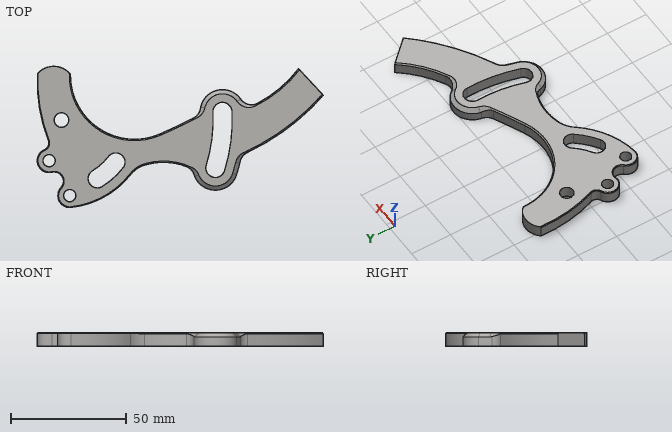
import cadquery as cq
import math

thickness = 6.0

fine_bevel = 0.4
arm_bevel = 0.6
slot_bevel = 1.9

pivot = (10.5, 38.0)
pivot_hole_radius = 3.1

lug_hole_radius = 2.6
lug_radius = 5.2
upper_lug = (5.2, 20.4)
lower_lug = (14.2, 5.2)
notch_radius = 4.0
lug_fillet = 3.1

short_slot_path = 29.8
short_slot_radius = 4.0
short_slot_angles = (-58.5, -37.8)

long_slot_path = 69.9
long_slot_radius = 4.1
long_slot_angles = (-17.3, 2.9)
rim_radius = 9.7

left_edge = (69.5, 54.6)
left_edge_radius = 69.5
tip = (7.2, 52.0)
tip_radius = 9.3
bowl = (42.2, 57.4)
bowl_radius = 27.7
flank_radius = 248.3
flank_angle = -66.5
belly = (54.8, -8.5)
belly_radius = 28.0
tail_fillet = 12.3
arm_bottom = (47.7, 116.0)
arm_bottom_radius = 101.8
arm_top = (71.3, 92.1)
arm_top_radius = 52.8
belly_fillet = 5.6
arm_bottom_fillet = 5.6
arm_top_fillet = 5.6
flank_fillet = 5.6

arm_end = (119.3, 53.9)
arm_end_angle = 43
arm_overrun = 6.2
trim_size = 49.7


def polar(center, radius, degrees):
    angle = math.radians(degrees)
    return (center[0] + radius * math.cos(angle), center[1] + radius * math.sin(angle))


def crossing(a, radius_a, b, radius_b, side):
    """Crossing of two circles; side +1 is left of the line from a to b, -1 is right."""
    dx, dy = b[0] - a[0], b[1] - a[1]
    span = math.hypot(dx, dy)
    along = (span**2 + radius_a**2 - radius_b**2) / (2 * span)
    across = side * math.sqrt(radius_a**2 - along**2)
    return (
        a[0] + (along * dx - across * dy) / span,
        a[1] + (along * dy + across * dx) / span,
    )


def blend(first, second, radius, side):
    """Concave arc of the given radius tangent to two outline arcs."""
    center = crossing(first[0], abs(first[1] + radius), second[0], abs(second[1] + radius), side)
    return (center, -radius)


def tangent_point(first, second):
    """Point where two tangent outline arcs join."""
    (ax, ay), radius_a = first
    (bx, by), radius_b = second
    share = radius_a / (radius_a - radius_b)
    return (ax + (bx - ax) * share, ay + (by - ay) * share)


def arc_middle(arc, start, end):
    """Middle of the short arc from start to end."""
    (cx, cy), radius = arc
    mx = (start[0] + end[0]) / 2 - cx
    my = (start[1] + end[1]) / 2 - cy
    scale = abs(radius) / math.hypot(mx, my)
    return (cx + mx * scale, cy + my * scale)


def outline(fine, arm, rim):
    """Closed plate outline, moved inward by the given amounts along its three regions."""
    edge = (left_edge, left_edge_radius - fine)
    lug_a = (upper_lug, lug_radius - fine)
    lug_b = (lower_lug, lug_radius - fine)
    tail = (pivot, math.dist(pivot, lower_lug) + lug_radius - fine)
    under = (belly, -belly_radius - arm)
    rim_low = (polar(pivot, long_slot_path, long_slot_angles[0]), rim_radius - rim)
    rim_side = (pivot, long_slot_path + rim_radius - rim)
    rim_high = (polar(pivot, long_slot_path, long_slot_angles[1]), rim_radius - rim)
    arm_low = (arm_bottom, arm_bottom_radius - arm)
    arm_high = (arm_top, -arm_top_radius - arm)
    flank = (polar(bowl, bowl_radius - flank_radius, flank_angle), -flank_radius - arm)
    cup = (bowl, -bowl_radius - arm)

    lower_chain = [
        edge,
        blend(edge, lug_a, lug_fillet + fine, -1),
        lug_a,
        blend(lug_a, lug_b, notch_radius + fine, -1),
        lug_b,
        tail,
        blend(tail, under, tail_fillet + arm, 1),
        under,
        blend(under, rim_low, belly_fillet + arm, 1),
        rim_low,
        rim_side,
        blend(rim_side, arm_low, arm_bottom_fillet + arm, -1),
        arm_low,
    ]
    upper_chain = [
        arm_high,
        blend(arm_high, rim_high, arm_top_fillet + arm, 1),
        rim_high,
        blend(rim_high, flank, flank_fillet + arm, 1),
        flank,
        cup,
    ]
    tip_left = crossing(tip, tip_radius, *edge, 1)
    tip_right = crossing(bowl, bowl_radius + arm, tip, tip_radius, -1)
    past_end = polar(arm_end, arm_overrun, arm_end_angle)
    end_low = arc_middle(arm_low, past_end, past_end)
    end_high = arc_middle(arm_high, past_end, past_end)

    wire = cq.Workplane("XY").moveTo(*tip_left)
    start = tip_left
    for chain, last in ((lower_chain, end_low), (upper_chain, tip_right)):
        joints = [tangent_point(a, b) for a, b in zip(chain, chain[1:])] + [last]
        for arc, end in zip(chain, joints):
            wire = wire.threePointArc(arc_middle(arc, start, end), end)
            start = end
        if chain is lower_chain:
            wire = wire.lineTo(*end_high)
            start = end_high
    return wire.threePointArc(polar(tip, tip_radius, 90), tip_left).close()


def arc_slot(path_radius, half_width, angles):
    """Through slot following an arc around the pivot."""
    inner, outer = path_radius - half_width, path_radius + half_width
    first, last = angles
    middle = (first + last) / 2
    profile = (
        cq.Workplane("XY")
        .moveTo(*polar(pivot, inner, first))
        .threePointArc(polar(pivot, inner, middle), polar(pivot, inner, last))
        .lineTo(*polar(pivot, outer, last))
        .threePointArc(polar(pivot, outer, middle), polar(pivot, outer, first))
        .close()
        .extrude(thickness)
    )
    ends = [polar(pivot, path_radius, angle) for angle in angles]
    return profile.union(cq.Workplane("XY").pushPoints(ends).circle(half_width).extrude(thickness))


plate = outline(0, 0, 0).extrude(thickness)
frustum = (
    outline(fine_bevel, arm_bevel, slot_bevel)
    .extrude(-thickness, taper=-45)
    .translate((0, 0, thickness))
)
plate = plate.intersect(frustum)

end_trim = (
    cq.Workplane("XY")
    .rect(trim_size, trim_size)
    .extrude(thickness)
    .translate((trim_size / 2, 0, 0))
    .rotate((0, 0, 0), (0, 0, 1), arm_end_angle)
    .translate((*arm_end, 0))
)
plate = plate.cut(end_trim)

pivot_hole = cq.Workplane("XY").center(*pivot).circle(pivot_hole_radius).extrude(thickness)
lug_holes = (
    cq.Workplane("XY")
    .pushPoints([upper_lug, lower_lug])
    .circle(lug_hole_radius)
    .extrude(thickness)
)
short_slot = arc_slot(short_slot_path, short_slot_radius, short_slot_angles)
long_slot = arc_slot(long_slot_path, long_slot_radius, long_slot_angles)

result = plate.cut(pivot_hole).cut(lug_holes).cut(short_slot).cut(long_slot)